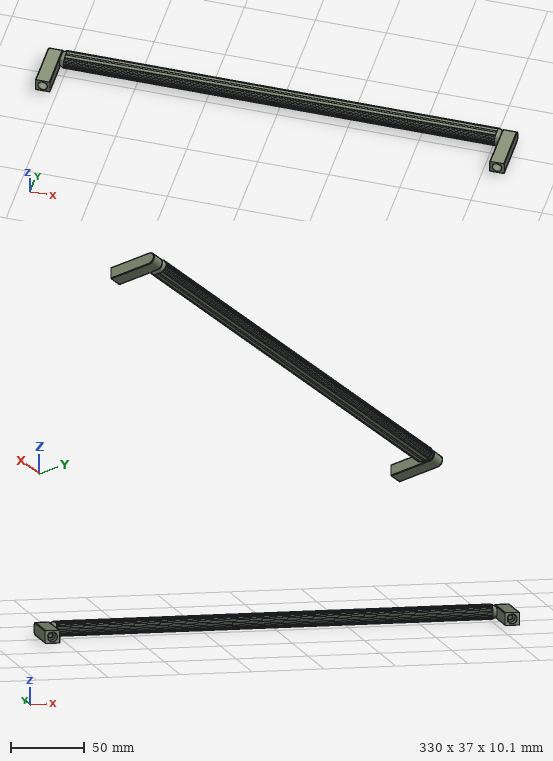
import cadquery as cq
import math

LENGTH = 330.0
DEPTH = 37.0

POST_WIDTH = 10.2
POST_HEIGHT = 9.0
POST_EDGE_CHAMFER = 0.45

RECESS_DIAMETER = 6.5
RECESS_DEPTH = 6.5
THREAD_DIAMETER = 4.0
BORE_DIAMETER = 3.25
BORE_DEPTH = 16.5
DRILL_TIP_ANGLE = 118.0

BAR_OVERHANG = 0.53
BAR_FLAT = 3.5

WIDE_REED_WIDTH = 2.5
WIDE_REED_GAP = 1.45
NARROW_REED_COUNT = 6
NARROW_REED_WIDTH = 1.0
REED_HEIGHT = 0.3

COLLAR_LENGTH = 2.3
COLLAR_ANGLE = 26.0
BEVEL_LENGTH = 0.82
BEVEL_ANGLE = 20.0

BAR_HEIGHT = POST_HEIGHT + 2 * BAR_OVERHANG
BAR_RADIUS = BAR_HEIGHT / 2
BAR_Y = DEPTH - BAR_RADIUS - BAR_FLAT / 2
SIDE_ARC_LENGTH = math.pi * BAR_RADIUS
HALF_PERIMETER = BAR_FLAT + SIDE_ARC_LENGTH
BAR_HALF_LENGTH = LENGTH / 2 - POST_WIDTH
REEDED_HALF_LENGTH = BAR_HALF_LENGTH - COLLAR_LENGTH - BEVEL_LENGTH
POST_X = (LENGTH - POST_WIDTH) / 2


def outline_point(distance, inset):
    """Point on the bar's stadium outline moved inwards by `inset`.

    `distance` runs along the full-size outline from the middle of its upper flat.
    """
    side = 1
    if distance > HALF_PERIMETER:
        distance -= HALF_PERIMETER
        side = -1
    radius = BAR_RADIUS - inset
    along_arc = distance - BAR_FLAT / 2
    if along_arc < 0:
        y, z = distance, radius
    elif along_arc < SIDE_ARC_LENGTH:
        angle = along_arc / BAR_RADIUS
        y = BAR_FLAT / 2 + radius * math.sin(angle)
        z = radius * math.cos(angle)
    else:
        y, z = HALF_PERIMETER - distance, -radius
    return BAR_Y + side * y, side * z


def reed_spans():
    """Start and end of every reed, as distances along the bar's outline, in order."""
    wide_start = WIDE_REED_GAP / 2
    wide_end = wide_start + WIDE_REED_WIDTH
    pitch = (HALF_PERIMETER - 2 * wide_end) / NARROW_REED_COUNT
    half_ring = [(wide_start, wide_end)]
    for reed in range(NARROW_REED_COUNT):
        middle = wide_end + (reed + 0.5) * pitch
        half_ring.append((middle - NARROW_REED_WIDTH / 2, middle + NARROW_REED_WIDTH / 2))
    half_ring.append((HALF_PERIMETER - wide_end, HALF_PERIMETER - wide_start))
    other_half = [(start + HALF_PERIMETER, end + HALF_PERIMETER) for start, end in half_ring]
    return half_ring + other_half


def make_reeded_section():
    """Ring of convex reeds, separated by narrow flat valleys, extruded along X."""
    spans = reed_spans()
    outline = cq.Workplane("YZ", origin=(-REEDED_HALF_LENGTH, 0, 0))
    outline = outline.moveTo(*outline_point(spans[-1][1], REED_HEIGHT))
    for start, end in spans:
        crest = outline_point((start + end) / 2, 0)
        outline = outline.lineTo(*outline_point(start, REED_HEIGHT))
        outline = outline.threePointArc(crest, outline_point(end, REED_HEIGHT))
    return outline.close().extrude(2 * REEDED_HALF_LENGTH)


def make_bar_end(side):
    """Smooth end of the bar: a full-size rim, a bevel and a collar tapering down to a post."""
    rim = (
        cq.Workplane("YZ", origin=(side * REEDED_HALF_LENGTH, BAR_Y, 0))
        .slot2D(BAR_FLAT + BAR_HEIGHT, BAR_HEIGHT)
        .extrude(side * BEVEL_LENGTH, taper=BEVEL_ANGLE)
    )
    collar_height = BAR_HEIGHT - 2 * BEVEL_LENGTH * math.tan(math.radians(BEVEL_ANGLE))
    collar = (
        cq.Workplane("YZ", origin=(side * (REEDED_HALF_LENGTH + BEVEL_LENGTH), BAR_Y, 0))
        .slot2D(BAR_FLAT + collar_height, collar_height)
        .extrude(side * COLLAR_LENGTH, taper=COLLAR_ANGLE)
    )
    return rim.union(collar)


def make_bar():
    return make_reeded_section().union(make_bar_end(-1)).union(make_bar_end(1))


def make_post_hole():
    """Recess, lead-in and drilled bore with a conical tip, running along +Y from y = 0."""
    recess_radius = RECESS_DIAMETER / 2
    thread_radius = THREAD_DIAMETER / 2
    bore_radius = BORE_DIAMETER / 2
    lead_in = thread_radius - bore_radius
    tip = bore_radius / math.tan(math.radians(DRILL_TIP_ANGLE / 2))
    return (
        cq.Workplane("XY")
        .polyline(
            [
                (0, 0),
                (recess_radius, 0),
                (recess_radius, RECESS_DEPTH),
                (thread_radius, RECESS_DEPTH),
                (bore_radius, RECESS_DEPTH + lead_in),
                (bore_radius, BORE_DEPTH),
                (0, BORE_DEPTH + tip),
            ]
        )
        .close()
        .revolve(360, (0, 0, 0), (0, 1, 0))
    )


def make_post(x):
    """Post with a full-round tip, chamfered along the edges of both sides."""
    radius = POST_HEIGHT / 2
    tip = DEPTH - BAR_OVERHANG
    body = (
        cq.Workplane("YZ", origin=(-POST_WIDTH / 2, 0, 0))
        .moveTo(0, -radius)
        .lineTo(tip - radius, -radius)
        .threePointArc((tip, 0), (tip - radius, radius))
        .lineTo(0, radius)
        .close()
        .extrude(POST_WIDTH)
    )
    profile_edges = body.faces("<X or >X").edges("not <Y")
    body = profile_edges.chamfer(POST_EDGE_CHAMFER)
    return body.cut(make_post_hole()).translate((x, 0, 0))


bar = make_bar()
posts = [make_post(side * POST_X) for side in (-1, 1)]

result = cq.Compound.makeCompound([bar.val(), *[post.val() for post in posts]])